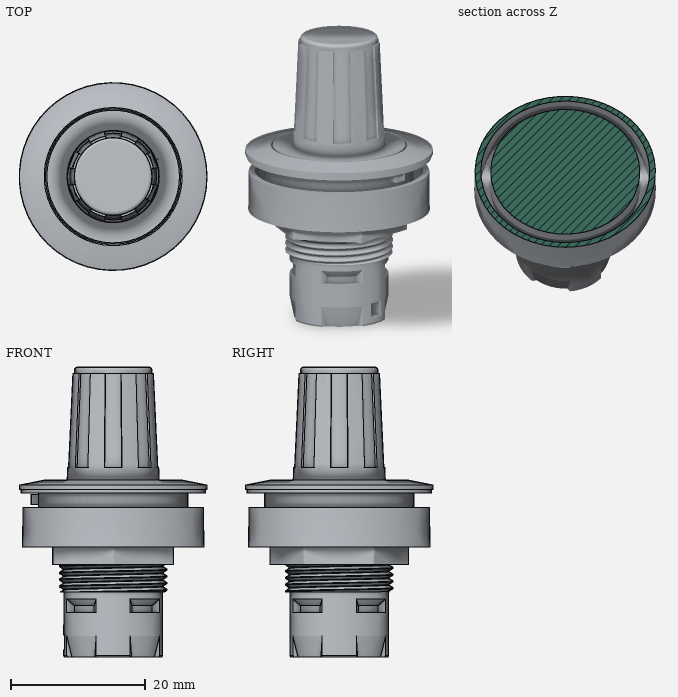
import cadquery as cq
import math

sleeve_top = 9.7
hex_bottom = 13.72
drum_bottom = 16.34
recess_floor = 17.34
drum_seam = 20.3
drum_top = 22.25
lip_bottom = 24.36
rim_bottom = 24.9
rim_top = 25.55
flange_top = 26.28
flute_bottom = 28.15
knob_shoulder = 42.13
overall_height = 43.08

sleeve_dia = 14.7
thread_dia = 16.0
thread_root_dia = 15.0
drum_dia = 26.86
drum_base_dia = 27.0
drum_recess_dia = 25.0
neck_dia = 22.2
lip_dia = 27.4
rim_dia = 27.9
flange_face_dia = 20.5
knob_base_dia = 13.7
knob_shoulder_dia = 12.2
cap_dia = 11.5

cap_fillet = 0.5
sleeve_chamfer_height = 0.25
sleeve_chamfer_width = 0.12

ring_groove_outer_dia = 20.1
ring_groove_inner_dia = 19.7
ring_groove_depth = 0.5

flute_count = 8
flute_depth = 0.32
flute_angle = 180 / flute_count

hex_sides = 6
hex_across_flats = 18.0
hex_corner_radius = 0.45

thread_pitch = 1.0
thread_crest_height = 10.0
thread_base_width = 0.9
thread_crest_width = 0.12
thread_embed = 0.1
thread_lead_in_turns = 2

tab_reach = 12.17
tab_width = 2.0
tab_bottom = 22.66
tab_height = 1.5

pocket_count = 4
pocket_first_angle = 45
wedge_apex = 4.88
wedge_half_angle = 60
window_bottom = 6.61
window_top = 8.65
window_inner_top = 7.63
window_inner_radius = 6.42
notch_top = 3.11
notch_end_radius = 6.7
socket_width = 2.25
socket_bottom = 1.04
socket_depth = 1.5

clearance = 1.0


def revolve(points):
    """Revolve a closed (radius, height) outline about the Z axis."""
    return cq.Workplane("XZ").polyline(points).close().revolve(360, (0, 0, 0), (0, 1, 0))


def disc(diameter, bottom, top):
    return cq.Workplane("XY").workplane(offset=bottom).circle(diameter / 2).extrude(top - bottom)


def make_flange_and_drum():
    body = revolve([
        (0, drum_bottom),
        (drum_base_dia / 2, drum_bottom),
        (drum_dia / 2, drum_seam),
        (drum_dia / 2, drum_top),
        (drum_recess_dia / 2, drum_top),
        (drum_recess_dia / 2, recess_floor),
        (neck_dia / 2, recess_floor),
        (neck_dia / 2, lip_bottom),
        (lip_dia / 2, lip_bottom),
        (lip_dia / 2, rim_bottom),
        (rim_dia / 2, rim_bottom),
        (rim_dia / 2, rim_top),
        (flange_face_dia / 2, flange_top),
        (0, flange_top),
    ])
    groove_floor = flange_top - ring_groove_depth
    chamfer = (flange_face_dia - ring_groove_outer_dia) / 2
    groove = revolve([
        (ring_groove_inner_dia / 2, groove_floor),
        (ring_groove_outer_dia / 2, groove_floor),
        (ring_groove_outer_dia / 2, flange_top - chamfer),
        (flange_face_dia / 2, flange_top),
        (ring_groove_inner_dia / 2, flange_top),
    ])
    return body.cut(groove)


def make_tab():
    return (
        cq.Workplane("XY")
        .box(tab_reach, tab_width, tab_height, centered=(False, True, False))
        .translate((-tab_reach, 0, tab_bottom))
    )


def knob_radius(height):
    """Radius of the tapered knob at a given height."""
    fraction = (height - flange_top) / (knob_shoulder - flange_top)
    return (knob_base_dia + fraction * (knob_shoulder_dia - knob_base_dia)) / 2


def make_knob():
    cone = revolve([
        (0, flange_top),
        (knob_base_dia / 2, flange_top),
        (knob_shoulder_dia / 2, knob_shoulder),
        (0, knob_shoulder),
    ])
    flute_bottom_radius = knob_radius(flute_bottom)
    flute_outline = [
        (flute_bottom_radius - flute_depth, flute_bottom),
        (flute_bottom_radius + clearance, flute_bottom),
        (flute_bottom_radius + clearance, knob_shoulder),
        (knob_radius(knob_shoulder) - flute_depth, knob_shoulder),
    ]
    flute = (
        cq.Workplane("XZ").polyline(flute_outline).close()
        .revolve(flute_angle, (0, 0, 0), (0, 1, 0))
        .rotate((0, 0, 0), (0, 0, 1), -flute_angle / 2)
    )
    for index in range(flute_count):
        cone = cone.cut(flute.rotate((0, 0, 0), (0, 0, 1), index * 360 / flute_count))
    cap = disc(cap_dia, flute_bottom, overall_height).faces(">Z").edges().fillet(cap_fillet)
    return cone.union(cap)


def make_hex_nut():
    half_side_angle = 180 / hex_sides
    corner_dia = hex_across_flats / math.cos(math.radians(half_side_angle))
    return (
        cq.Workplane("XY").workplane(offset=hex_bottom)
        .polygon(hex_sides, corner_dia).extrude(drum_bottom - hex_bottom)
        .edges("|Z").fillet(hex_corner_radius)
        .rotate((0, 0, 0), (0, 0, 1), half_side_angle)
    )


def make_thread():
    """Right-handed V thread, trimmed square at both ends."""
    root_radius = thread_root_dia / 2
    lead_in = thread_crest_height - thread_lead_in_turns * thread_pitch
    helix_height = hex_bottom + thread_pitch - lead_in
    helix = cq.Wire.makeHelix(thread_pitch, helix_height, root_radius, center=cq.Vector(0, 0, lead_in))
    base_radius = root_radius - thread_embed
    ridge = (
        cq.Workplane("XZ")
        .polyline([
            (base_radius, lead_in - thread_base_width / 2),
            (thread_dia / 2, lead_in - thread_crest_width / 2),
            (thread_dia / 2, lead_in + thread_crest_width / 2),
            (base_radius, lead_in + thread_base_width / 2),
        ]).close()
        .sweep(cq.Workplane(obj=helix), isFrenet=True)
    )
    ridge = ridge.intersect(disc(thread_dia + clearance, sleeve_top, hex_bottom))
    return disc(thread_root_dia, sleeve_top, hex_bottom).union(ridge)


def make_pocket_wedge(top):
    """Triangular prism pointing at the axis, limiting a sleeve pocket sideways."""
    far = sleeve_dia / 2 + clearance
    half_width = (far - wedge_apex) * math.tan(math.radians(wedge_half_angle))
    return (
        cq.Workplane("XY")
        .polyline([(wedge_apex, 0), (far, -half_width), (far, half_width)]).close()
        .extrude(top)
    )


def make_sleeve():
    """Collet sleeve whose plain upper end runs through the threaded length."""
    radius = sleeve_dia / 2
    outside = radius + clearance
    sleeve = revolve([
        (0, 0),
        (radius - sleeve_chamfer_width, 0),
        (radius, sleeve_chamfer_height),
        (radius, hex_bottom),
        (0, hex_bottom),
    ])
    window_ring = revolve([
        (window_inner_radius, window_bottom),
        (outside, window_bottom),
        (outside, window_top),
        (radius, window_top),
        (window_inner_radius, window_inner_top),
    ])
    notch_ring = revolve([
        (notch_end_radius, 0),
        (outside, 0),
        (outside, notch_top),
        (radius, notch_top),
    ])
    wedge = make_pocket_wedge(sleeve_top)
    window = window_ring.intersect(wedge)
    notch = notch_ring.intersect(wedge)
    for index in range(pocket_count):
        angle = pocket_first_angle + index * 360 / pocket_count
        sleeve = sleeve.cut(window.rotate((0, 0, 0), (0, 0, 1), angle))
        sleeve = sleeve.cut(notch.rotate((0, 0, 0), (0, 0, 1), angle))
    socket = (
        cq.Workplane("XY")
        .box(socket_depth + clearance, socket_width, socket_width, centered=(False, True, False))
        .translate((-outside, 0, socket_bottom))
    )
    return sleeve.cut(socket)


result = (
    make_flange_and_drum()
    .union(make_tab())
    .union(make_knob())
    .union(make_hex_nut())
    .union(make_thread())
    .union(make_sleeve())
)